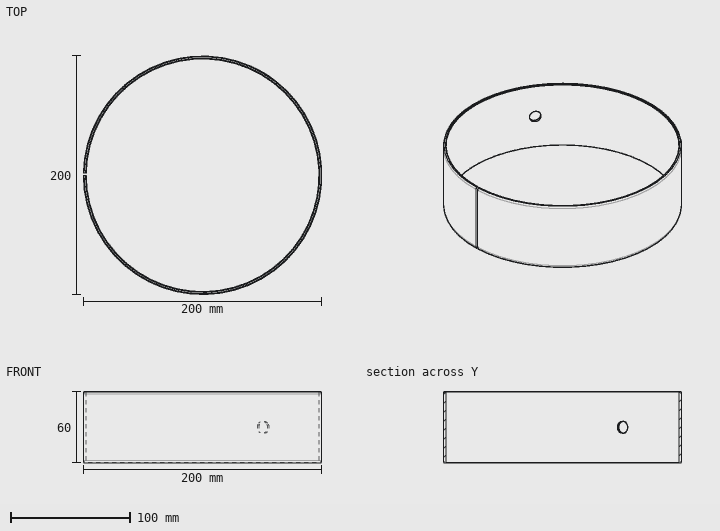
import cadquery as cq

outer_diameter = 200.0
height = 60.0
wall = 2.5
outer_radius = outer_diameter / 2
inner_radius = outer_radius - wall

outer_bevel_height = 2.0
outer_bevel_depth = 0.5

inner_chamfer = 0.5

gap_angle = 1.0

hole_diameter = 10.0
hole_angle = 59.0


def make_split_ring():
    """Revolve the bevelled wall section about Z, stopping short of a full turn."""
    rim = height / 2
    outer_bevel_start = rim - outer_bevel_height
    inner_chamfer_start = rim - inner_chamfer
    section = [
        (-inner_radius, -inner_chamfer_start),
        (-inner_radius - inner_chamfer, -rim),
        (-outer_radius + outer_bevel_depth, -rim),
        (-outer_radius, -outer_bevel_start),
        (-outer_radius, outer_bevel_start),
        (-outer_radius + outer_bevel_depth, rim),
        (-inner_radius - inner_chamfer, rim),
        (-inner_radius, inner_chamfer_start),
    ]
    wall_section = cq.Workplane("XZ").polyline(section).close()
    return wall_section.revolve(360 - gap_angle, (0, 0), (0, 1))


def make_radial_hole():
    """Cutter running from the axis outward through one side of the wall."""
    cutter = cq.Workplane("YZ").circle(hole_diameter / 2).extrude(outer_diameter)
    return cutter.rotate((0, 0, 0), (0, 0, 1), hole_angle)


result = make_split_ring().cut(make_radial_hole())